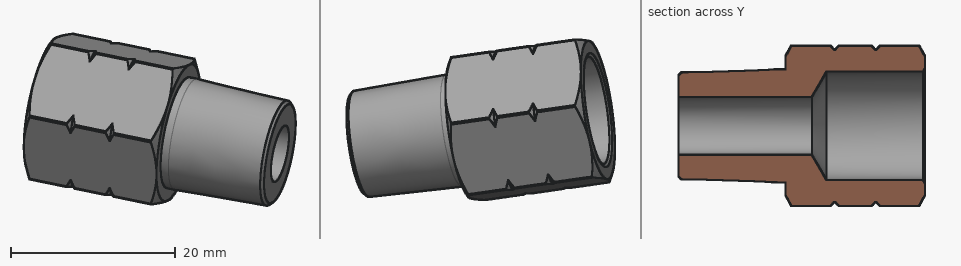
import cadquery as cq
import math

across_flats = 17.0
corner_diameter = 19.5
body_length = 17.0
corner_chamfer_angle = 30.0

groove_positions = (6.0, 11.0)
groove_depth = 0.5
groove_half_width = 0.5

total_length = 30.0
collar_diameter = 13.8
collar_length = 1.0
taper_ratio = 1 / 16
end_chamfer = 0.38

socket_diameter = 13.16
socket_mouth_diameter = 14.0
mouth_countersink_angle = 120.0
socket_depth = 12.0
drill_point_angle = 120.0
through_diameter = 7.0


def revolve_about_x(outline):
    """Solid of revolution about X from (x, radius) points."""
    profile = cq.Workplane("XY").polyline(outline).close()
    return profile.revolve(360, (0, 0, 0), (1, 0, 0))


def cone_length(large_radius, small_radius, included_angle):
    """Axial length of a cone between two radii."""
    return (large_radius - small_radius) / math.tan(math.radians(included_angle / 2))


def make_body():
    """Hexagonal prism with corners pointing along Z, turned and chamfered at both ends."""
    flat_radius = across_flats / 2
    corner_radius = corner_diameter / 2
    chamfer_length = (corner_radius - flat_radius) * math.tan(math.radians(corner_chamfer_angle))
    sharp_corner_diameter = across_flats / math.cos(math.pi / 6)

    hexagon = (
        cq.Workplane("YZ")
        .transformed(rotate=(0, 0, 90))
        .polygon(6, sharp_corner_diameter)
        .extrude(body_length)
    )
    turned_envelope = revolve_about_x([
        (0, 0),
        (0, flat_radius),
        (chamfer_length, corner_radius),
        (body_length - chamfer_length, corner_radius),
        (body_length, flat_radius),
        (body_length, 0),
    ])
    return hexagon.intersect(turned_envelope)


def make_groove_cutter(position):
    """V-section ring with its point facing the axis."""
    corner_radius = corner_diameter / 2
    clearance = groove_depth
    flare = groove_half_width * (groove_depth + clearance) / groove_depth
    return revolve_about_x([
        (position, corner_radius - groove_depth),
        (position + flare, corner_radius + clearance),
        (position - flare, corner_radius + clearance),
    ])


def make_spigot():
    """Collar and tapered shank with a chamfered end."""
    collar_radius = collar_diameter / 2
    taper_start = body_length + collar_length
    taper_end = total_length - end_chamfer
    tip_radius = collar_radius - (taper_end - taper_start) * taper_ratio / 2
    return revolve_about_x([
        (body_length, 0),
        (body_length, collar_radius),
        (taper_start, collar_radius),
        (taper_end, tip_radius),
        (total_length, tip_radius - end_chamfer),
        (total_length, 0),
    ])


def make_bore():
    """Countersunk socket with a drill-point floor, running into the through hole."""
    mouth_radius = socket_mouth_diameter / 2
    socket_radius = socket_diameter / 2
    through_radius = through_diameter / 2
    mouth_length = cone_length(mouth_radius, socket_radius, mouth_countersink_angle)
    floor_length = cone_length(socket_radius, through_radius, drill_point_angle)
    return revolve_about_x([
        (0, 0),
        (0, mouth_radius),
        (mouth_length, socket_radius),
        (socket_depth, socket_radius),
        (socket_depth + floor_length, through_radius),
        (total_length, through_radius),
        (total_length, 0),
    ])


body = make_body()
for groove_position in groove_positions:
    body = body.cut(make_groove_cutter(groove_position))

result = body.union(make_spigot()).cut(make_bore())